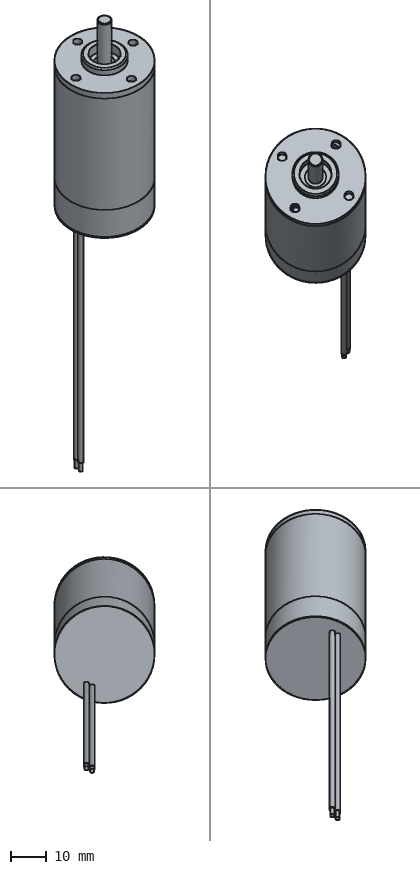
import cadquery as cq

overall_length = 160.3
shaft_reach = 15.0
body_diameter = 28.0
body_length = 53.7
flange_thickness = 2.1
rear_length = 10.4
end_plate_thickness = 0.5

flange_top = overall_length - shaft_reach
flange_bottom = flange_top - flange_thickness
body_bottom = flange_top - body_length
rear_top = body_bottom + rear_length
end_plate_top = body_bottom + end_plate_thickness

boss_diameter = 13.0
boss_height = 2.4
boss_chamfer = 0.5

bearing_diameter = 9.0
bearing_recess = 3.2
bearing_top = flange_top + boss_height - bearing_recess

shaft_diameter = 4.0
shaft_chamfer = 0.24
journal_diameter = 6.0

mount_hole_diameter = 2.5
mount_circle_diameter = 22.0
mount_hole_count = 4

can_hole_diameter = 2.1
can_hole_circle_diameter = 20.7
can_hole_count = 2
can_hole_depth = 2.4

wire_diameter = 1.6
wire_spacing = 1.8
wire_offset = 10.0
conductor_diameter = 1.2
bare_length = 3.2


def cylinder(diameter, bottom, top):
    """A round bar about the Z axis."""
    return cq.Workplane("XY").workplane(offset=bottom).circle(diameter / 2).extrude(top - bottom)


def hole_cutters(diameter, circle_diameter, count, bottom, top):
    """Round bars spread evenly on a circle, the first one on the X axis."""
    return (
        cq.Workplane("XY")
        .workplane(offset=bottom)
        .polarArray(circle_diameter / 2, 0, 360, count)
        .circle(diameter / 2)
        .extrude(top - bottom)
    )


def make_flange():
    boss_top = flange_top + boss_height
    boss = cylinder(boss_diameter, flange_top, boss_top).faces(">Z").chamfer(boss_chamfer)
    bore = cylinder(bearing_diameter, flange_bottom, boss_top)
    mount_holes = hole_cutters(
        mount_hole_diameter, mount_circle_diameter, mount_hole_count, flange_bottom, flange_top
    )
    plate = cylinder(body_diameter, flange_bottom, flange_top)
    return plate.union(boss).cut(bore).cut(mount_holes)


def make_bearing():
    journal_bore = cylinder(journal_diameter, flange_bottom, bearing_top)
    return cylinder(bearing_diameter, flange_bottom, bearing_top).cut(journal_bore)


def make_shaft():
    journal = cylinder(journal_diameter, flange_bottom, bearing_top)
    output_end = cylinder(shaft_diameter, bearing_top, overall_length)
    return journal.union(output_end.faces(">Z").chamfer(shaft_chamfer))


def make_gearbox_can():
    can_holes = hole_cutters(
        can_hole_diameter,
        can_hole_circle_diameter,
        can_hole_count,
        flange_bottom - can_hole_depth,
        flange_bottom,
    )
    return cylinder(body_diameter, rear_top, flange_bottom).cut(can_holes)


def make_motor():
    return cylinder(body_diameter, end_plate_top, rear_top)


def make_end_plate():
    return cylinder(body_diameter, body_bottom, end_plate_top)


def make_insulation(x):
    return cylinder(wire_diameter, bare_length, body_bottom).translate((x, -wire_offset, 0))


def make_conductor(x):
    return cylinder(conductor_diameter, 0, bare_length).translate((x, -wire_offset, 0))


flange = make_flange()
bearing = make_bearing()
shaft = make_shaft()
gearbox_can = make_gearbox_can()
motor = make_motor()
end_plate = make_end_plate()

insulations = []
conductors = []
for side in (-1, 1):
    wire_x = side * wire_spacing / 2
    insulations.append(make_insulation(wire_x).val())
    conductors.append(make_conductor(wire_x).val())

result = cq.Compound.makeCompound(
    [
        flange.val(),
        bearing.val(),
        shaft.val(),
        gearbox_can.val(),
        motor.val(),
        end_plate.val(),
        *insulations,
        *conductors,
    ]
)